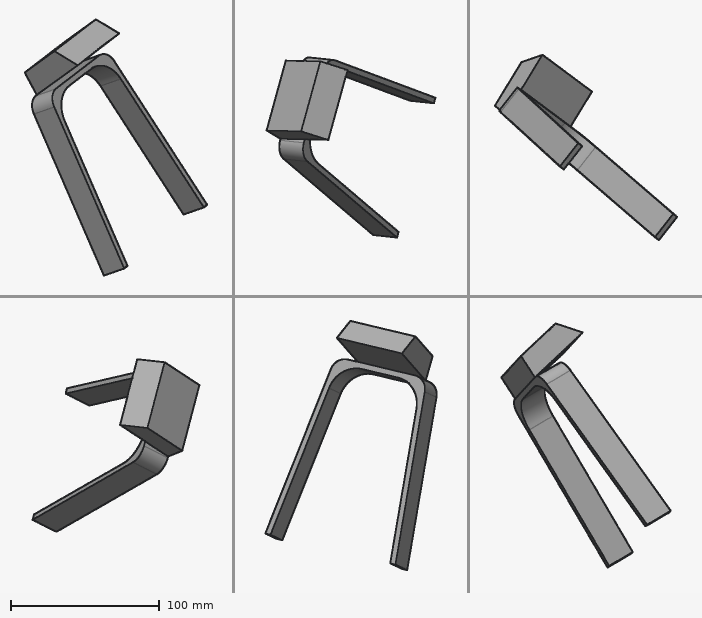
import cadquery as cq
import math


tilt = 55.9
strip_width = 20.0
wall = 4.0
leg_length = 127.3
leg_spread = 100.0
leg_splay = 6.7
outer_radius = 10.3
inner_radius = 20.0

block_width = 50.0
block_thickness = 17.0
block_rise = 46.0
block_underside = 48.1
block_tip_angle = 60.0


def make_bracket():
    """U-shaped strip, drawn in its sloping plane and extruded square to it."""
    slope = math.radians(tilt)
    lean = math.tan(math.radians(leg_splay))
    leg_wall = wall / math.cos(math.radians(leg_splay))
    outer_end = leg_spread / 2
    outer_corner = outer_end - leg_length * lean
    inner_end = outer_end - leg_wall
    inner_corner = inner_end - (leg_length - wall) * lean

    plane = cq.Plane(
        origin=(0, 0, 0),
        xDir=(math.cos(slope), 0, -math.sin(slope)),
        normal=(math.sin(slope), 0, math.cos(slope)),
    )

    def tapered_plate(start, corner, end):
        outline = [(start, -corner), (leg_length, -end), (leg_length, end), (start, corner)]
        return cq.Workplane(plane).polyline(outline).close().extrude(strip_width)

    def round_corners(plate, radius):
        top_face = cq.selectors.DirectionMinMaxSelector(plane.xDir, False)
        across = cq.selectors.ParallelDirSelector(plane.zDir)
        return plate.faces(top_face).edges(across).fillet(radius)

    outer = round_corners(tapered_plate(0, outer_corner, outer_end), outer_radius)
    inner = round_corners(tapered_plate(wall, inner_corner, inner_end), inner_radius)
    return outer.cut(inner)


def make_block():
    """Four-sided profile in the XZ plane, extruded evenly to both sides."""
    rise = math.radians(block_rise)
    heel = math.radians(180 - tilt - block_rise)
    tip = math.radians(block_tip_angle)
    plane = cq.Plane(
        origin=(0, 0, 0),
        xDir=(math.cos(rise), 0, math.sin(rise)),
        normal=(0, -1, 0),
    )
    profile = [
        (0, 0),
        (block_underside, 0),
        (block_underside - block_thickness / math.tan(tip), block_thickness),
        (block_thickness / math.tan(heel), block_thickness),
    ]
    return cq.Workplane(plane).polyline(profile).close().extrude(block_width / 2, both=True)


bracket = make_bracket()
block = make_block()

result = cq.Compound.makeCompound([bracket.val(), block.val()])